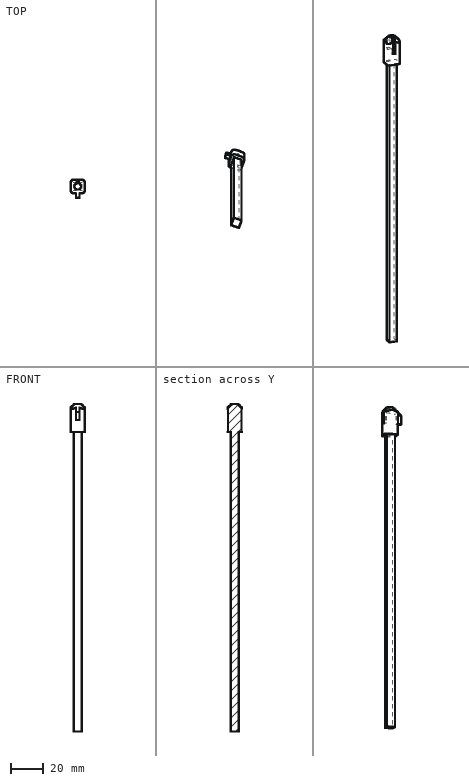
import cadquery as cq

total_height = 202.0
head_width = 8.7
head_depth = 8.5
head_height = 17.4
head_corner_radius = 1.8
shaft_width = 5.0

tip_radius = 2.0

catch_width = 2.5
catch_projection = 2.8
catch_face_height = 5.0
slot_width = 1.6
slot_depth = 1.6

head_base = total_height - head_height
half_depth = head_depth / 2
catch_reach = half_depth + catch_projection
crown_drop = catch_reach - tip_radius
catch_base = total_height - crown_drop - catch_face_height


def make_shaft():
    return cq.Workplane("XY").rect(shaft_width, shaft_width).extrude(head_base)


def make_head_block():
    return (
        cq.Workplane("XY")
        .workplane(offset=head_base)
        .rect(head_width, head_depth)
        .extrude(head_height)
        .edges("|Z")
        .fillet(head_corner_radius)
    )


def make_catch_block():
    """Block from the axis of the head out to the catch face, before the crown is cut."""
    return cq.Workplane("XY").box(
        catch_width, catch_reach, total_height - catch_base, centered=(True, False, False)
    ).translate((0, -catch_reach, catch_base))


def make_crown_envelope():
    """Turned body whose cone bounds both the head and the top of the catch."""
    envelope_radius = catch_reach + catch_width
    cone_base = total_height - (envelope_radius - tip_radius)
    return (
        cq.Workplane("XZ")
        .moveTo(0, head_base)
        .lineTo(envelope_radius, head_base)
        .lineTo(envelope_radius, cone_base)
        .lineTo(tip_radius, total_height)
        .lineTo(0, total_height)
        .close()
        .revolve(360, (0, 0), (0, 1))
    )


def make_slot():
    """Open-topped slot in the +Y face, with its floor level with the catch's underside."""
    return cq.Workplane("XY").box(
        slot_width, slot_depth, total_height - catch_base, centered=(True, False, False)
    ).translate((0, half_depth - slot_depth, catch_base))


head = make_head_block().union(make_catch_block())
head = head.intersect(make_crown_envelope()).cut(make_slot())
result = make_shaft().union(head)